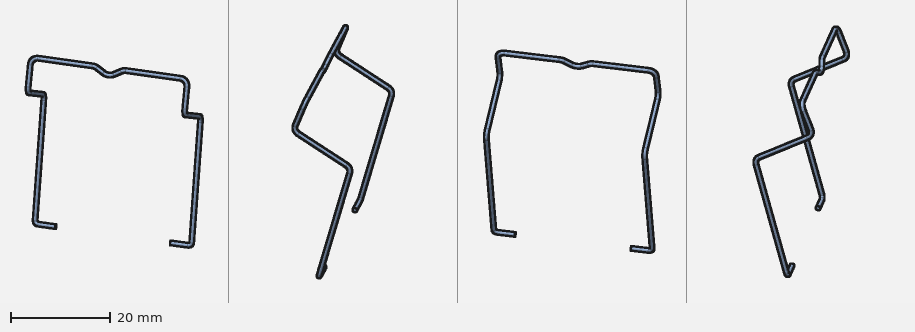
import cadquery as cq
import math

WIRE_DIAMETER = 1.0
WIRE_RADIUS = WIRE_DIAMETER / 2

OVERALL_WIDTH = 33.8
OVERALL_HEIGHT = 41.05

FRONT_KNEE_Z = 33.7
BACK_KNEE_Z = 26.7
UPPER_LEG_ANGLE = 20.0
MIDDLE_LEG_ANGLE = 60.0
LOWER_LEG_ANGLE = 14.5

MAIN_BEND_RADIUS = 1.5
HOOK_BEND_RADIUS = 0.75
DIP_SHOULDER_RADIUS = 1.8
DIP_BOTTOM_RADIUS = 2.15

HOOK_END_X = 12.02
DIP_HALF_WIDTH = 3.5
DIP_ANGLE = 30.0

SIDE_X = OVERALL_WIDTH / 2 - WIRE_RADIUS
FOOT_Z = WIRE_RADIUS
TOP_Z = OVERALL_HEIGHT - WIRE_RADIUS


def leg_run(height, angle):
    """Horizontal run of a leg that rises by height at angle from vertical."""
    return height * math.tan(math.radians(angle))


BACK_KNEE_Y = leg_run(BACK_KNEE_Z - FOOT_Z, LOWER_LEG_ANGLE)
FRONT_KNEE_Y = BACK_KNEE_Y - leg_run(FRONT_KNEE_Z - BACK_KNEE_Z, MIDDLE_LEG_ANGLE)
TOP_Y = FRONT_KNEE_Y + leg_run(TOP_Z - FRONT_KNEE_Z, UPPER_LEG_ANGLE)

DIP_TILT = math.radians(UPPER_LEG_ANGLE)
DIP_SLOPE = math.radians(DIP_ANGLE)
DIP_CORNER_X = DIP_HALF_WIDTH - DIP_SHOULDER_RADIUS * math.tan(DIP_SLOPE / 2)
DIP_DEPTH = DIP_CORNER_X * math.tan(DIP_SLOPE)
DIP_Y = TOP_Y - DIP_DEPTH * math.sin(DIP_TILT)
DIP_Z = TOP_Z - DIP_DEPTH * math.cos(DIP_TILT)

HALF_CORNERS = [
    ((HOOK_END_X, 0, FOOT_Z), 0),
    ((SIDE_X, 0, FOOT_Z), HOOK_BEND_RADIUS),
    ((SIDE_X, BACK_KNEE_Y, BACK_KNEE_Z), MAIN_BEND_RADIUS),
    ((SIDE_X, FRONT_KNEE_Y, FRONT_KNEE_Z), MAIN_BEND_RADIUS),
    ((SIDE_X, TOP_Y, TOP_Z), MAIN_BEND_RADIUS),
    ((DIP_CORNER_X, TOP_Y, TOP_Z), DIP_SHOULDER_RADIUS),
]
DIP_CORNER = ((0, DIP_Y, DIP_Z), DIP_BOTTOM_RADIUS)


def mirrored(corners):
    """Corners reflected to the other side of X = 0, in reverse order."""
    return [((-x, y, z), radius) for (x, y, z), radius in reversed(corners)]


def bend_points(before, corner, after, radius):
    """Start, middle and end of the arc that rounds a corner."""
    to_before = (before - corner).normalized()
    to_after = (after - corner).normalized()
    half_angle = to_before.getAngle(to_after) / 2
    setback = radius / math.tan(half_angle)
    middle_distance = radius / math.sin(half_angle) - radius
    bisector = (to_before + to_after).normalized()
    return (
        corner + to_before * setback,
        corner + bisector * middle_distance,
        corner + to_after * setback,
    )


def rounded_path(corners):
    """Centreline through the corners, with each inner corner rounded by its radius."""
    points = [cq.Vector(*point) for point, _ in corners]
    edges = []
    position = points[0]
    for i in range(1, len(points) - 1):
        start, middle, end = bend_points(points[i - 1], points[i], points[i + 1], corners[i][1])
        edges.append(cq.Edge.makeLine(position, start))
        edges.append(cq.Edge.makeThreePointArc(start, middle, end))
        position = end
    edges.append(cq.Edge.makeLine(position, points[-1]))
    return cq.Wire.assembleEdges(edges)


centreline = rounded_path(HALF_CORNERS + [DIP_CORNER] + mirrored(HALF_CORNERS))
hook_end_plane = cq.Plane(origin=HALF_CORNERS[0][0], xDir=(0, 1, 0), normal=(1, 0, 0))
result = cq.Workplane(hook_end_plane).circle(WIRE_RADIUS).sweep(centreline)